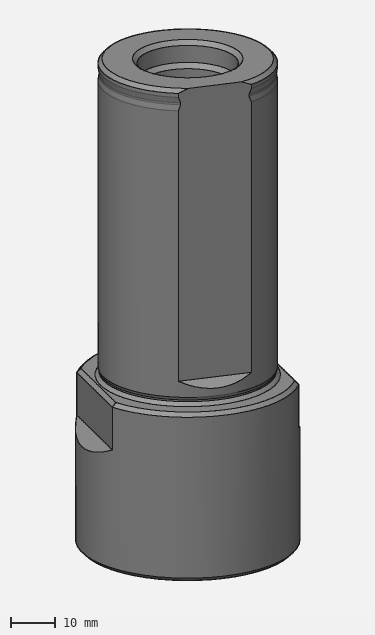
import cadquery as cq

height = 115.0
body_diameter = 50.0
body_height = 40.0
shaft_diameter = 40.0
edge_chamfer = 0.9

flats_width = 44.0
flats_bottom = 29.0

shaft_flat_x = 18.0
shaft_flat_bottom = 45.8

groove_floor_diameter = 39.6
groove_top = 113.2
groove_floor_top = 111.8
groove_floor_bottom = 111.3
groove_bottom = 109.9
undercut_top = 42.0
undercut_floor_top = 41.3
undercut_foot_diameter = 41.3

bore_diameter = 20.4
counterbore_diameter = 22.5
counterbore_floor = 109.9
mouth_chamfer = 1.0

body_radius = body_diameter / 2
shaft_radius = shaft_diameter / 2
groove_floor_radius = groove_floor_diameter / 2
undercut_foot_radius = undercut_foot_diameter / 2


def revolve_profile(points):
    """Revolve a closed (radius, z) outline around the Z axis."""
    return cq.Workplane("XZ").polyline(points).close().revolve(360, (0, 0, 0), (0, 1, 0))


def make_body():
    """Round body with two wrench flats, chamfered at both ends."""
    body = cq.Workplane("XY").circle(body_radius).extrude(body_height)
    flat_y = flats_width / 2
    flat_depth = body_radius - flat_y
    cutter = (
        cq.Workplane("YZ")
        .moveTo(flat_y, body_height)
        .lineTo(flat_y, flats_bottom)
        .lineTo(body_radius, flats_bottom - flat_depth)
        .lineTo(body_radius, body_height)
        .close()
        .extrude(body_radius, both=True)
    )
    body = body.cut(cutter).cut(cutter.mirror("XZ"))
    return body.faces("<Z or >Z").edges().chamfer(edge_chamfer)


def make_shaft():
    """Grooved shaft standing on the body, with a flat on its +X side."""
    undercut_floor_bottom = body_height + undercut_foot_radius - groove_floor_radius
    shaft = revolve_profile([
        (0, 0),
        (undercut_foot_radius, 0),
        (undercut_foot_radius, body_height),
        (groove_floor_radius, undercut_floor_bottom),
        (groove_floor_radius, undercut_floor_top),
        (shaft_radius, undercut_top),
        (shaft_radius, groove_bottom),
        (groove_floor_radius, groove_floor_bottom),
        (groove_floor_radius, groove_floor_top),
        (shaft_radius, groove_top),
        (shaft_radius, height - edge_chamfer),
        (shaft_radius - edge_chamfer, height),
        (0, height),
    ])
    flat_depth = shaft_radius - shaft_flat_x
    cutter = (
        cq.Workplane("XZ")
        .moveTo(shaft_flat_x, height)
        .lineTo(shaft_flat_x, shaft_flat_bottom)
        .lineTo(shaft_radius, shaft_flat_bottom - flat_depth)
        .lineTo(shaft_radius, height)
        .close()
        .extrude(shaft_radius, both=True)
    )
    return shaft.cut(cutter)


def make_bore():
    """Through bore with a counterbore, a conical step and a chamfered mouth."""
    bore_radius = bore_diameter / 2
    counterbore_radius = counterbore_diameter / 2
    cone_height = counterbore_radius - bore_radius
    return revolve_profile([
        (0, 0),
        (bore_radius, 0),
        (bore_radius, counterbore_floor - cone_height),
        (counterbore_radius, counterbore_floor),
        (counterbore_radius, height - mouth_chamfer),
        (counterbore_radius + mouth_chamfer, height),
        (0, height),
    ])


result = make_body().union(make_shaft()).cut(make_bore())